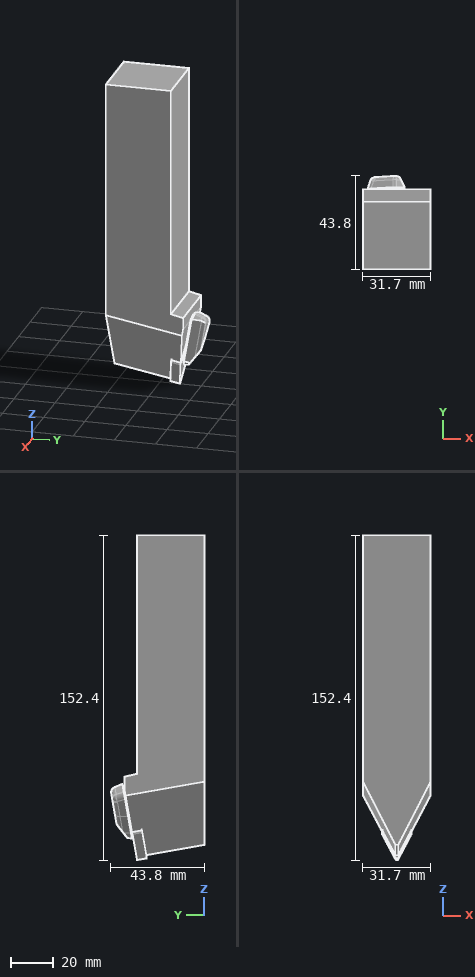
import cadquery as cq
import math

shank_width = 31.7
overall_length = 152.4
head_front = 37.6
ledge_back_z = 40.5
ledge_front_z = 39.2
rake_tilt = 10.0
tip_angle = 55.0
holder_apex = 0.3
holder_tip = 1.5

insert_half_length = 13.7
insert_thickness = 4.7
insert_nose_radius = 0.8

clamp_height = 6.5
clamp_gap = 0.6
pad_inset = 0.9
clamp_draft = 12.0
clamp_corner_radius = 2.5
clamp_edge_radius = 2.7
nose_top_start = 18.3
nose_slope = 28.0
right_draft = 25.0
left_corner = (14.8, 31.7)
left_bend = (9.1, 21.2)
nose_left = (2.3, 13.3)
nose_tip = (-1.4, 10.4)
nose_right = (-3.8, 13.3)
right_corner = (-3.8, 34.9)
peak = (1.0, 36.5)
clamp_corners = [left_corner, left_bend, nose_left, nose_tip, nose_right, right_corner, peak]
clamp_round_corners = [left_corner, peak]

mid_x = shank_width / 2
tilt = math.radians(rake_tilt)
half_tip_angle = math.radians(tip_angle / 2)
tip_slope = math.tan(half_tip_angle)
rake_plane = cq.Plane(
    origin=(mid_x, shank_width, 0),
    xDir=(-1, 0, 0),
    normal=(0, math.cos(tilt), -math.sin(tilt)),
)


def make_shank():
    """Side profile of shank and head, ending in front at the rake face."""
    rake_top_z = (head_front - shank_width) / math.tan(tilt)
    profile = [
        (0, 0),
        (0, overall_length),
        (shank_width, overall_length),
        (shank_width, ledge_back_z),
        (head_front, ledge_front_z),
        (head_front, rake_top_z),
        (shank_width, 0),
    ]
    return cq.Workplane("YZ").polyline(profile).close().extrude(shank_width)


def make_tip_envelope():
    """Prism square to the rake face that trims the head to a blunt V."""
    tip_half = (holder_tip - holder_apex) * tip_slope
    reach = 2 * overall_length
    reach_half = (reach - holder_apex) * tip_slope
    outline = [
        (-tip_half, holder_tip),
        (tip_half, holder_tip),
        (reach_half, reach),
        (-reach_half, reach),
    ]
    prism = cq.Workplane(rake_plane).polyline(outline).close()
    return prism.extrude(overall_length, both=True)


def make_insert():
    """Rhombic plate with rounded corners, its lowest nose at the foot of the rake face."""
    half_width = insert_half_length * tip_slope
    nose_loss = insert_nose_radius * (1 / math.sin(half_tip_angle) - 1)
    insert_centre = insert_half_length - nose_loss
    outline = [
        (0, insert_centre - insert_half_length),
        (half_width, insert_centre),
        (0, insert_centre + insert_half_length),
        (-half_width, insert_centre),
    ]
    blank = cq.Workplane(rake_plane).polyline(outline).close().extrude(-insert_thickness)
    corner_edges = cq.selectors.ParallelDirSelector(rake_plane.zDir)
    return blank.edges(corner_edges).fillet(insert_nose_radius)


def make_draft_cut(base_plane, start, end, draft_angle):
    """Block outside one side of the clamp, leaning inward by its draft angle."""
    foot = base_plane.toWorldCoords(start)
    side = (base_plane.toWorldCoords(end) - foot).normalized()
    outward = base_plane.zDir.cross(side)
    draft = math.radians(draft_angle)
    normal = outward * math.cos(draft) + base_plane.zDir * math.sin(draft)
    side_plane = cq.Plane(origin=foot, xDir=side, normal=normal)
    return cq.Workplane(side_plane).rect(overall_length, overall_length).extrude(shank_width)


def make_clamp():
    """Drafted block with a sloping nose and rounded edges, on a slightly smaller pad."""
    base_plane = cq.Workplane(rake_plane).workplane(offset=clamp_gap)
    block = base_plane.polyline(clamp_corners).close().extrude(clamp_height - clamp_gap)
    next_corners = clamp_corners[1:] + clamp_corners[:1]
    for start, end in zip(clamp_corners, next_corners):
        draft_angle = right_draft if start == nose_right else clamp_draft
        block = block.cut(make_draft_cut(base_plane.plane, start, end, draft_angle))

    for x, up in clamp_round_corners:
        corner = rake_plane.toWorldCoords((x, up, clamp_height / 2))
        block = block.edges(cq.selectors.NearestToPointSelector(corner)).fillet(clamp_corner_radius)

    nose_rise = nose_top_start * math.tan(math.radians(nose_slope))
    nose_profile = [
        (clamp_height, nose_top_start),
        (clamp_height, 0),
        (clamp_height - nose_rise, 0),
    ]
    nose_plane = cq.Workplane(rake_plane).transformed(rotate=(0, -90, 0))
    nose_cut = nose_plane.polyline(nose_profile).close().extrude(shank_width, both=True)
    block = block.cut(nose_cut)

    top_face = cq.selectors.DirectionMinMaxSelector(rake_plane.zDir)
    block = block.faces(top_face).edges().fillet(clamp_edge_radius)

    pad_outline = cq.Workplane(rake_plane).polyline(clamp_corners).close().offset2D(-pad_inset)
    return block.union(pad_outline.extrude(clamp_gap))


insert = make_insert()
holder = make_shank().intersect(make_tip_envelope()).cut(insert).union(make_clamp())

result = cq.Compound.makeCompound([holder.val(), insert.val()])